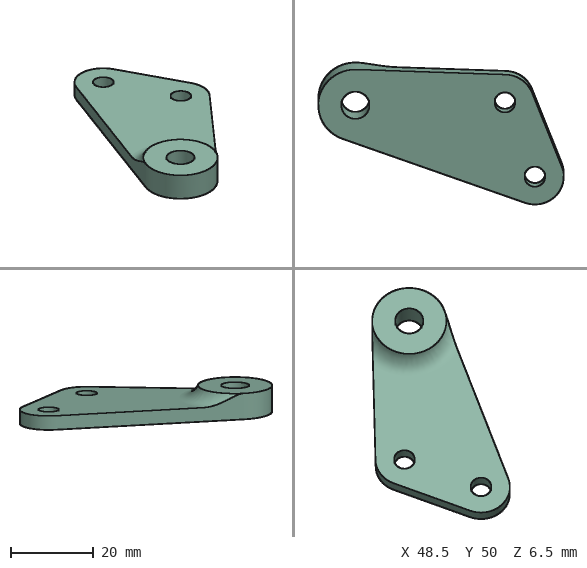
import cadquery as cq
import math

mount_spacing = 20.0
pivot_x = 32.45
pivot_y = -34.0

mount_radius = 7.0
pivot_radius = 9.0
mount_hole_diameter = 5.0
pivot_hole_diameter = 6.8

plate_thickness = 3.5
boss_height = 6.5
flare_width = 4.5

mount_centers = [(0, 0), (mount_spacing, 0)]
pivot_center = (pivot_x, pivot_y)


def on_circle(center, radius, angle):
    """Point at the given angle in radians on a circle."""
    return (center[0] + radius * math.cos(angle), center[1] + radius * math.sin(angle))


def tangent_angle(start, start_radius, end, end_radius):
    """Normal direction of the tangent line on the left of the path from start to end."""
    dx = end[0] - start[0]
    dy = end[1] - start[1]
    return math.atan2(dy, dx) + math.acos((start_radius - end_radius) / math.hypot(dx, dy))


def outline(height):
    """Prism whose outline wraps the two mounting corners and the pivot boss."""
    left, right = mount_centers
    top_angle = math.pi / 2
    right_angle = tangent_angle(right, mount_radius, pivot_center, pivot_radius)
    left_angle = tangent_angle(pivot_center, pivot_radius, left, mount_radius)
    corner_middle = (top_angle + right_angle) / 2
    pivot_middle = -math.pi / 4
    return (
        cq.Workplane("XY")
        .moveTo(*on_circle(left, mount_radius, top_angle))
        .lineTo(*on_circle(right, mount_radius, top_angle))
        .threePointArc(
            on_circle(right, mount_radius, corner_middle),
            on_circle(right, mount_radius, right_angle),
        )
        .lineTo(*on_circle(pivot_center, pivot_radius, right_angle))
        .threePointArc(
            on_circle(pivot_center, pivot_radius, pivot_middle),
            on_circle(pivot_center, pivot_radius, left_angle),
        )
        .lineTo(*on_circle(left, mount_radius, left_angle))
        .threePointArc(
            on_circle(left, mount_radius, math.pi),
            on_circle(left, mount_radius, top_angle),
        )
        .close()
        .extrude(height)
    )


def flared_boss():
    """Round boss with a concave flare that meets the plate tangentially."""
    rise = boss_height - plate_thickness
    flare_radius = (flare_width**2 + rise**2) / (2 * rise)
    half_sweep = math.atan2(rise, flare_width)
    foot_radius = pivot_radius + flare_width
    flare_middle = on_circle(
        (foot_radius, plate_thickness + flare_radius), flare_radius, -math.pi / 2 - half_sweep
    )
    return (
        cq.Workplane("XZ")
        .lineTo(foot_radius, 0)
        .lineTo(foot_radius, plate_thickness)
        .threePointArc(flare_middle, (pivot_radius, boss_height))
        .lineTo(0, boss_height)
        .close()
        .revolve(360, (0, 0, 0), (0, 1, 0))
        .translate((pivot_x, pivot_y, 0))
    )


def through_holes(centers, diameter):
    """Cutters for vertical holes through the full height."""
    return cq.Workplane("XY").pushPoints(centers).circle(diameter / 2).extrude(boss_height)


plate = outline(plate_thickness)
boss = flared_boss().intersect(outline(boss_height))
result = (
    plate.union(boss)
    .cut(through_holes(mount_centers, mount_hole_diameter))
    .cut(through_holes([pivot_center], pivot_hole_diameter))
)